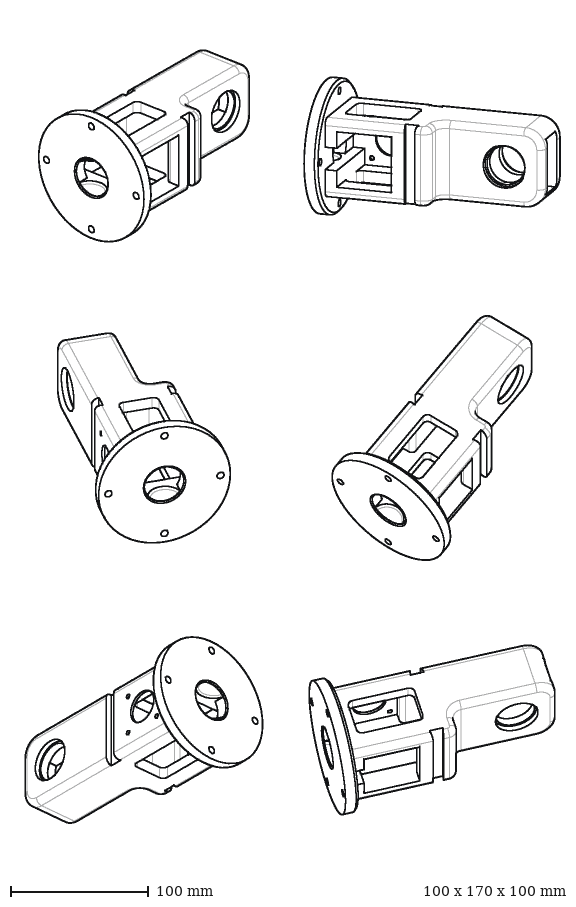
import cadquery as cq
import math

length = 170.0
body_height = 60.0
body_width = 64.0
body_half_width = body_width / 2
arm_right_x = 10.0
shoulder_y = 90.0
shoulder_inner_radius = 8.0
shoulder_outer_radius = 6.8
end_corner_radius = 15.0
edge_fillet = 5.0

flange_diameter = 100.0
flange_thickness = 10.0
flange_edge_chamfer = 2.0
flange_hole_diameter = 5.3
flange_hole_circle_radius = 42.5
flange_hole_count = 4

motor_size = 42.0
motor_y = 40.0
motor_wall = 2.0
motor_front_y = motor_y - motor_size / 2
motor_back_y = motor_y + motor_size / 2
pocket_left_x = motor_wall - body_half_width
motor_boss_diameter = 25.0
motor_screw_diameter = 3.2
motor_screw_spacing = 31.0

window_width = 30.0
window_length = 50.0
window_corner_radius = 4.0

channel_left_x = -21.0
channel_arm_right_x = 0.0
channel_bend_start_y = shoulder_y + shoulder_inner_radius
channel_bend_radius = 26.7
channel_bend_middle_x = 10.9
channel_mouth_radius = 3.7

inlet_diameter = 30.0
inlet_slot_height = 17.0
inlet_rim_chamfer = 1.0
inlet_dome_setback = 2.0
inlet_dome_bevel = 1.5

bearing_y = 140.0
bearing_hole_diameter = 29.0
bearing_seat_diameter = 32.0
bearing_seat_depth = 4.0

groove_y = 75.0
groove_mouth = 8.0
groove_floor = 10.0
groove_depth = 6.0


def box_between(x_range, y_range, height):
    """Box spanning the given X and Y ranges, centred on Z = 0."""
    x_size = x_range[1] - x_range[0]
    y_size = y_range[1] - y_range[0]
    return cq.Workplane("XY").box(x_size, y_size, height, centered=(False, False, True)).translate(
        (x_range[0], y_range[0], 0)
    )


def x_cylinder(diameter, x_start, x_end, y, z=0.0):
    """Cylinder along X."""
    return cq.Workplane("YZ", origin=(x_start, y, z)).circle(diameter / 2).extrude(x_end - x_start)


def y_cylinder(diameter, y_end):
    """Cylinder along the Y axis, from the flange face to y_end."""
    return cq.Workplane("XZ").circle(diameter / 2).extrude(-y_end)


def make_body():
    outline = (
        cq.Workplane("XY", origin=(0, 0, -body_height / 2))
        .moveTo(-body_half_width, 0)
        .lineTo(body_half_width, 0)
        .lineTo(body_half_width, shoulder_y - shoulder_outer_radius)
        .radiusArc((body_half_width - shoulder_outer_radius, shoulder_y), -shoulder_outer_radius)
        .lineTo(arm_right_x + shoulder_inner_radius, shoulder_y)
        .radiusArc((arm_right_x, shoulder_y + shoulder_inner_radius), shoulder_inner_radius)
        .lineTo(arm_right_x, length)
        .lineTo(-body_half_width, length)
        .close()
    )
    body = outline.extrude(body_height)
    body = body.faces(">Y").edges("|X").fillet(end_corner_radius)
    return body.edges("|Y").edges("<X or >X").fillet(edge_fillet)


def make_flange():
    flange = y_cylinder(flange_diameter, flange_thickness)
    flange = flange.faces(">Y").edges().chamfer(flange_edge_chamfer)
    holes = (
        cq.Workplane("XZ")
        .polarArray(flange_hole_circle_radius, 0, 360, flange_hole_count)
        .circle(flange_hole_diameter / 2)
        .extrude(-flange_thickness)
    )
    return flange.cut(holes)


def make_motor_holes():
    cuts = x_cylinder(motor_boss_diameter, -body_half_width, pocket_left_x, motor_y)
    for y_side in (-1, 1):
        for z_side in (-1, 1):
            screw_y = motor_y + y_side * motor_screw_spacing / 2
            screw_z = z_side * motor_screw_spacing / 2
            cuts = cuts.union(
                x_cylinder(motor_screw_diameter, -body_half_width, pocket_left_x, screw_y, screw_z)
            )
    return cuts


def make_window():
    x_range = (-window_width / 2, window_width / 2)
    y_range = (motor_front_y, motor_front_y + window_length)
    return box_between(x_range, y_range, body_height).edges("|Z").fillet(window_corner_radius)


def make_channel():
    """Channel along the arm, widening to the motor pocket through an S-bend of two equal arcs."""
    bend_center_x = channel_arm_right_x + channel_bend_radius
    half_bend_length = math.sqrt(
        channel_bend_radius**2 - (bend_center_x - channel_bend_middle_x) ** 2
    )
    bend_middle_y = channel_bend_start_y - half_bend_length
    lower_center_x = 2 * channel_bend_middle_x - bend_center_x
    lower_center_y = 2 * bend_middle_y - channel_bend_start_y
    mouth_right_x = lower_center_x + math.sqrt(
        channel_bend_radius**2 - (motor_back_y - lower_center_y) ** 2
    )
    return (
        cq.Workplane("XY", origin=(0, 0, -motor_size / 2))
        .moveTo(channel_left_x, motor_front_y)
        .lineTo(mouth_right_x, motor_front_y)
        .lineTo(mouth_right_x, motor_back_y)
        .radiusArc((channel_bend_middle_x, bend_middle_y), -channel_bend_radius)
        .radiusArc((channel_arm_right_x, channel_bend_start_y), channel_bend_radius)
        .lineTo(channel_arm_right_x, length)
        .lineTo(channel_left_x, length)
        .close()
        .extrude(motor_size)
    )


def make_motor_cavity():
    """Motor pocket and channel together, with the corners between them rounded."""
    pocket = box_between((pocket_left_x, body_half_width), (motor_front_y, motor_back_y), motor_size)
    cavity = pocket.union(make_channel())
    mouth_edges = cq.selectors.BoxSelector(
        (-body_half_width + 2 * motor_wall, motor_back_y - motor_wall, -motor_size),
        (body_half_width - motor_wall, motor_back_y + motor_wall, motor_size),
    )
    return cavity.edges("|Z").edges(mouth_edges).fillet(channel_mouth_radius)


def make_inlet_dome():
    """Ball-shaped hollow in the flange face, bevelled where it meets the slot's top and bottom."""
    radius = inlet_diameter / 2
    slot_half_height = inlet_slot_height / 2
    bevel_start_z = slot_half_height + inlet_dome_bevel
    bevel_start_radius = math.sqrt(radius**2 - bevel_start_z**2)
    bevel_end_radius = bevel_start_radius + inlet_dome_bevel
    dome = cq.Workplane("XY").sphere(radius)
    for side in (-1, 1):
        bevel = cq.Solid.makeCone(
            bevel_end_radius,
            bevel_start_radius,
            inlet_dome_bevel,
            pnt=cq.Vector(0, 0, side * slot_half_height),
            dir=cq.Vector(0, 0, side),
        )
        dome = dome.union(cq.Workplane(bevel))
    return dome.translate((0, -inlet_dome_setback, 0))


def make_inlet():
    """Round mouth flattened to a slot, which widens behind the flange into the motor pocket."""
    radius = inlet_diameter / 2
    bore = y_cylinder(inlet_diameter, flange_thickness)
    mouth = bore.intersect(box_between((-radius, radius), (0, flange_thickness), inlet_slot_height))
    slot_x_range = (pocket_left_x, body_half_width)
    slot = box_between(slot_x_range, (flange_thickness, motor_front_y), inlet_slot_height)
    rim = cq.Solid.makeCone(
        radius + inlet_rim_chamfer,
        radius,
        inlet_rim_chamfer,
        pnt=cq.Vector(0, 0, 0),
        dir=cq.Vector(0, 1, 0),
    )
    return mouth.union(slot).union(make_inlet_dome()).union(cq.Workplane(rim))


def make_bearing_cuts():
    cuts = x_cylinder(bearing_hole_diameter, -body_half_width, arm_right_x, bearing_y)
    left_seat_end_x = bearing_seat_depth - body_half_width
    right_seat_start_x = arm_right_x - bearing_seat_depth
    cuts = cuts.union(x_cylinder(bearing_seat_diameter, -body_half_width, left_seat_end_x, bearing_y))
    return cuts.union(x_cylinder(bearing_seat_diameter, right_seat_start_x, arm_right_x, bearing_y))


def make_groove():
    """Dovetail groove across the full height of the -X side."""
    floor_x = groove_depth - body_half_width
    return (
        cq.Workplane("XY", origin=(0, 0, -body_height / 2))
        .polyline(
            [
                (-body_half_width, groove_y - groove_mouth / 2),
                (floor_x, groove_y - groove_floor / 2),
                (floor_x, groove_y + groove_floor / 2),
                (-body_half_width, groove_y + groove_mouth / 2),
            ]
        )
        .close()
        .extrude(body_height)
    )


left_groove = make_groove()
result = make_body().union(make_flange())
result = result.cut(make_motor_holes())
result = result.cut(make_window())
result = result.cut(make_motor_cavity())
result = result.cut(make_inlet())
result = result.cut(make_bearing_cuts())
result = result.cut(left_groove).cut(left_groove.mirror("YZ"))